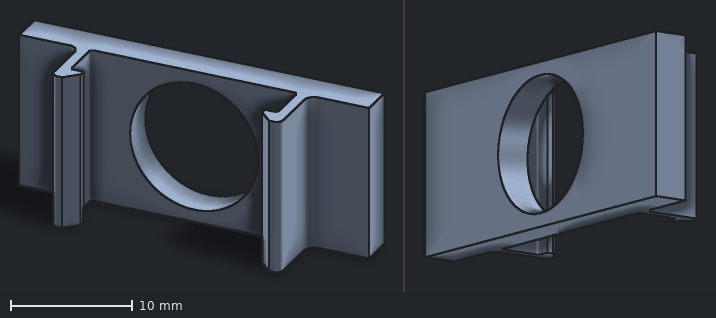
import cadquery as cq

length = 31.8
height = 13.9
total_depth = 8.6
plate_thickness = 3.02
hole_diameter = 11.6

arm_outer_x = 10.43
arm_thickness = 1.05
hook_reach = 1.15
hook_shelf_height = 1.7
hook_lip_height = 1.15
tip_radius = 0.6
outer_root_radius = 0.9
inner_corner_radius = 0.3

back_y = total_depth / 2
plate_front_y = back_y - plate_thickness
arm_end_y = -total_depth / 2
arm_inner_x = arm_outer_x - arm_thickness


def make_plate():
    plate = cq.Workplane("XY").box(length, plate_thickness, height)
    plate = plate.faces("<Y").workplane(origin=(0, 0, 0)).hole(hole_diameter)
    return plate.translate((0, (back_y + plate_front_y) / 2, 0))


def make_right_arm():
    hook_x = arm_inner_x - hook_reach
    shelf_y = arm_end_y + hook_shelf_height
    lip_y = arm_end_y + hook_lip_height
    root_y = plate_front_y + plate_thickness / 2

    ramp_end_x = hook_x + hook_lip_height
    tip_x = arm_outer_x - tip_radius
    tip_y = arm_end_y + tip_radius

    r_in = inner_corner_radius
    r_out = outer_root_radius
    return (
        cq.Workplane("XY", origin=(0, 0, -height / 2))
        .moveTo(hook_x, lip_y)
        .lineTo(ramp_end_x, arm_end_y)
        .lineTo(tip_x, arm_end_y)
        .radiusArc((arm_outer_x, tip_y), -tip_radius)
        .lineTo(arm_outer_x, plate_front_y - r_out)
        .radiusArc((arm_outer_x + r_out, plate_front_y), r_out)
        .lineTo(arm_outer_x + r_out, root_y)
        .lineTo(arm_inner_x - r_in, root_y)
        .lineTo(arm_inner_x - r_in, plate_front_y)
        .radiusArc((arm_inner_x, plate_front_y - r_in), r_in)
        .lineTo(arm_inner_x, shelf_y + r_in)
        .radiusArc((arm_inner_x - r_in, shelf_y), r_in)
        .lineTo(hook_x, shelf_y)
        .close()
        .extrude(height)
    )


right_arm = make_right_arm()
left_arm = right_arm.mirror("YZ")
result = make_plate().union(right_arm).union(left_arm)